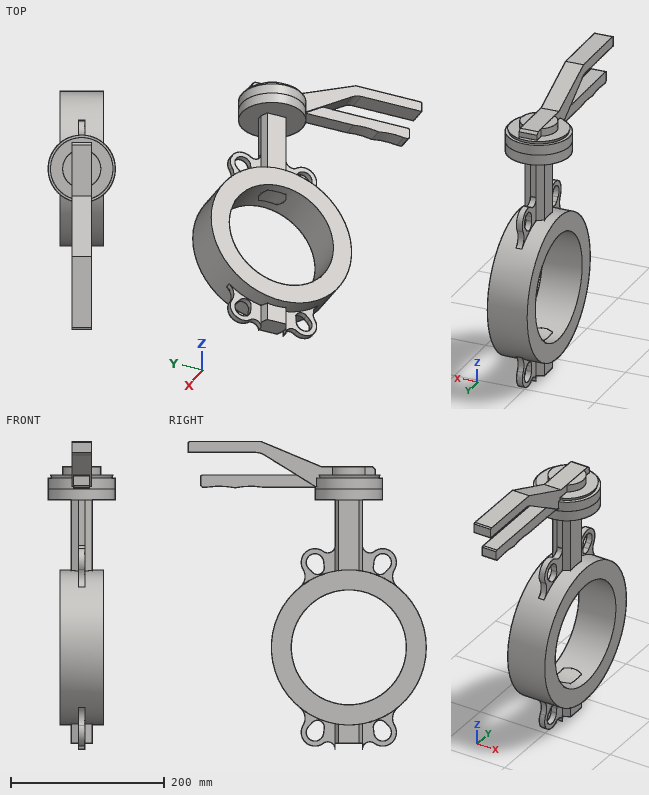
import cadquery as cq
import math

RING_CENTRE = (0, 0)
RING_DIAMETER = 202.5
BORE_DIAMETER = 150.0
RING_WIDTH = 57.0
RING_RADIUS = RING_DIAMETER / 2
BORE_RADIUS = BORE_DIAMETER / 2

POST_X = 27.7
POST_Y = 35.8
POST_FLAT_X = 8.5
POST_FLAT_Y = 27.0
FOOT_BOTTOM_Z = -125.5

FLANGE_DIAMETER = 88.0
FLANGE_BOTTOM_Z = 192.5
FLANGE_TOP_Z = 207.0
CAP_RIM_Z = 221.0
CAP_TOP_Z = 225.0
LIP_TOP_DIAMETER = 81.5
LIP_ROOT_DIAMETER = 78.8
HUB_DIAMETER = 50.0
HUB_TOP_Z = 236.0
FLANGE_RADIUS = FLANGE_DIAMETER / 2

HANDLE_WIDTH = 25.7
HANDLE_BACK_Y = 34.5
HANDLE_RISE_Y = -35.8
HANDLE_TOP_BEND_Y = -114.5
HANDLE_LOW_BEND_Y = -115.8
HANDLE_END_Y = -210.0
HANDLE_TOP_Z = 269.0
GRIP_THICKNESS = 14.5
BEND_RADIUS = 23.5
BACK_CHAMFER = 3.5
HEEL_Z = 210.2

END_CHAMFER_LENGTH = 2.5
END_CHAMFER_DROP = 1.2

LEVER_WIDTH = 21.0
LEVER_BOTTOM_Z = 209.0
LEVER_END_Y = -193.5
LEVER_TIP_CHAMFER = 2.5
GROOVE_START_Y = -112.5
GROOVE_RIDGE_Y = -148.5
GROOVE_END_Y = -185.0
GROOVE_TOP_Z = 210.2
RIDGE_BOTTOM_Z = 208.2

EAR_THICKNESS = POST_FLAT_X
EAR_RADIUS = 18.0
EAR_CENTRE = (44.2, 111.0)
POST_FILLET = 9.5
RING_FILLET = 18.0
EAR_HOLE_RADIUS = 11.3
SLOT_CENTRE = (41.0, 104.0)
SLOT_RADIUS = 9.0


def toward(start, end, distance):
    """The point at a distance from start along the line to end."""
    scale = distance / math.dist(start, end)
    return (start[0] + (end[0] - start[0]) * scale, start[1] + (end[1] - start[1]) * scale)


def short_arc_middle(centre, start, end):
    """The middle of the shorter arc from start to end about a centre."""
    chord_middle = ((start[0] + end[0]) / 2, (start[1] + end[1]) / 2)
    return toward(centre, chord_middle, math.dist(centre, start))


def make_ring_disc(radius):
    return cq.Workplane("YZ").circle(radius).extrude(RING_WIDTH / 2, both=True)


def make_post(bottom, top):
    """Vertical post whose section is a rectangle with four bevelled corners."""
    x, y = POST_X / 2, POST_Y / 2
    flat_x, flat_y = POST_FLAT_X / 2, POST_FLAT_Y / 2
    section = [
        (x, -flat_y), (x, flat_y), (flat_x, y), (-flat_x, y),
        (-x, flat_y), (-x, -flat_y), (-flat_x, -y), (flat_x, -y),
    ]
    return cq.Workplane("XY").workplane(offset=bottom).polyline(section).close().extrude(top - bottom)


def make_neck(bore):
    """Neck that passes through the ring wall, with the mounting flange at its top."""
    post = make_post(0, FLANGE_BOTTOM_Z).cut(bore)
    flange_plane = cq.Workplane("XY").workplane(offset=FLANGE_BOTTOM_Z)
    flange = flange_plane.circle(FLANGE_RADIUS).extrude(FLANGE_TOP_Z - FLANGE_BOTTOM_Z)
    return post.union(flange)


def make_foot(bore):
    return make_post(FOOT_BOTTOM_Z, 0).cut(bore)


def make_handle():
    grip_bottom = HANDLE_TOP_Z - GRIP_THICKNESS
    low_bend = (HANDLE_LOW_BEND_Y, grip_bottom)
    heel = (-FLANGE_RADIUS, HEEL_Z)
    handle = (
        cq.Workplane("YZ")
        .moveTo(HANDLE_BACK_Y, HEEL_Z)
        .lineTo(HANDLE_BACK_Y, HUB_TOP_Z - BACK_CHAMFER)
        .lineTo(HANDLE_BACK_Y - BACK_CHAMFER, HUB_TOP_Z)
        .lineTo(HANDLE_RISE_Y, HUB_TOP_Z)
        .lineTo(HANDLE_TOP_BEND_Y, HANDLE_TOP_Z)
        .lineTo(HANDLE_END_Y + END_CHAMFER_LENGTH, HANDLE_TOP_Z)
        .lineTo(HANDLE_END_Y, HANDLE_TOP_Z - END_CHAMFER_DROP)
        .lineTo(HANDLE_END_Y, grip_bottom)
        .lineTo(*low_bend)
        .lineTo(*heel)
        .close()
        .extrude(HANDLE_WIDTH / 2, both=True)
    )
    bend_edge = cq.selectors.NearestToPointSelector((0, *low_bend))
    return handle.edges(bend_edge).fillet(BEND_RADIUS)


def make_lever(handle):
    """Squeeze lever, cut off where it meets the sloping underside of the handle."""
    first_groove = ((GROOVE_START_Y + GROOVE_RIDGE_Y) / 2, GROOVE_TOP_Z)
    second_groove = ((GROOVE_RIDGE_Y + GROOVE_END_Y) / 2, GROOVE_TOP_Z)
    lever = (
        cq.Workplane("YZ")
        .moveTo(-FLANGE_RADIUS, LEVER_BOTTOM_Z)
        .lineTo(GROOVE_START_Y, LEVER_BOTTOM_Z)
        .threePointArc(first_groove, (GROOVE_RIDGE_Y, RIDGE_BOTTOM_Z))
        .threePointArc(second_groove, (GROOVE_END_Y, LEVER_BOTTOM_Z))
        .lineTo(LEVER_END_Y + LEVER_TIP_CHAMFER, LEVER_BOTTOM_Z)
        .lineTo(LEVER_END_Y, LEVER_BOTTOM_Z + LEVER_TIP_CHAMFER)
        .lineTo(LEVER_END_Y, CAP_TOP_Z - END_CHAMFER_DROP)
        .lineTo(LEVER_END_Y + END_CHAMFER_LENGTH, CAP_TOP_Z)
        .lineTo(-FLANGE_RADIUS, CAP_TOP_Z)
        .close()
        .extrude(LEVER_WIDTH / 2, both=True)
    )
    return lever.cut(handle)


def make_cap(handle):
    """Turned cap with a lip and a hub, slotted for the handle."""
    profile = [
        (0, FLANGE_TOP_Z),
        (FLANGE_RADIUS, FLANGE_TOP_Z),
        (FLANGE_RADIUS, CAP_RIM_Z),
        (LIP_ROOT_DIAMETER / 2, CAP_RIM_Z),
        (LIP_TOP_DIAMETER / 2, CAP_TOP_Z),
        (HUB_DIAMETER / 2, CAP_TOP_Z),
        (HUB_DIAMETER / 2, HUB_TOP_Z),
        (0, HUB_TOP_Z),
    ]
    turned = cq.Workplane("XZ").polyline(profile).close().revolve(360, (0, 0, 0), (0, 1, 0))
    return turned.cut(handle)


def make_ear_hole():
    """Hole with a wide and a narrow round end, joined by sides tangent to both."""
    (ear_y, ear_z), (slot_y, slot_z) = EAR_CENTRE, SLOT_CENTRE
    outward = math.atan2(ear_z - slot_z, ear_y - slot_y)
    tangent_turn = math.acos((SLOT_RADIUS - EAR_HOLE_RADIUS) / math.dist(EAR_CENTRE, SLOT_CENTRE))

    def wide_end(angle):
        return (ear_y + EAR_HOLE_RADIUS * math.cos(angle), ear_z + EAR_HOLE_RADIUS * math.sin(angle))

    def narrow_end(angle):
        return (slot_y + SLOT_RADIUS * math.cos(angle), slot_z + SLOT_RADIUS * math.sin(angle))

    return (
        cq.Workplane("YZ")
        .moveTo(*wide_end(outward - tangent_turn))
        .threePointArc(wide_end(outward), wide_end(outward + tangent_turn))
        .lineTo(*narrow_end(outward + tangent_turn))
        .threePointArc(narrow_end(outward + math.pi), narrow_end(outward - tangent_turn))
        .close()
        .extrude(EAR_THICKNESS / 2, both=True)
    )


def make_ear():
    """Bolt ear in the +Y, +Z quarter, which rests on the ring and against the post."""
    post_side = POST_Y / 2
    ear_y, ear_z = EAR_CENTRE

    post_arc_y = post_side + POST_FILLET
    post_arc_reach = EAR_RADIUS + POST_FILLET
    post_arc_z = ear_z + math.sqrt(post_arc_reach**2 - (ear_y - post_arc_y) ** 2)
    post_arc_centre = (post_arc_y, post_arc_z)
    post_tip = (post_side, post_arc_z)
    ear_start = toward(post_arc_centre, EAR_CENTRE, POST_FILLET)

    ear_distance = math.hypot(ear_y, ear_z)
    ring_arc_distance = RING_RADIUS + RING_FILLET
    ring_arc_reach = EAR_RADIUS + RING_FILLET
    corner_cosine = (ear_distance**2 + ring_arc_distance**2 - ring_arc_reach**2) / (
        2 * ear_distance * ring_arc_distance
    )
    ring_arc_angle = math.atan2(ear_z, ear_y) - math.acos(corner_cosine)
    ring_arc_centre = (
        ring_arc_distance * math.cos(ring_arc_angle),
        ring_arc_distance * math.sin(ring_arc_angle),
    )
    ear_end = toward(EAR_CENTRE, ring_arc_centre, EAR_RADIUS)
    ring_end = toward(RING_CENTRE, ring_arc_centre, RING_RADIUS)

    ear_outermost = toward(EAR_CENTRE, RING_CENTRE, -EAR_RADIUS)
    post_foot = (post_side, math.sqrt(RING_RADIUS**2 - post_side**2))
    plate = (
        cq.Workplane("YZ")
        .moveTo(*post_foot)
        .lineTo(*post_tip)
        .threePointArc(short_arc_middle(post_arc_centre, post_tip, ear_start), ear_start)
        .threePointArc(ear_outermost, ear_end)
        .threePointArc(short_arc_middle(ring_arc_centre, ear_end, ring_end), ring_end)
        .threePointArc(short_arc_middle(RING_CENTRE, ring_end, post_foot), post_foot)
        .close()
        .extrude(EAR_THICKNESS / 2, both=True)
    )
    return plate.cut(make_ear_hole())


bore = make_ring_disc(BORE_RADIUS)
neck = make_neck(bore)
foot = make_foot(bore)
ring = make_ring_disc(RING_RADIUS).cut(bore).cut(neck).cut(foot)

handle = make_handle()
lever = make_lever(handle)
cap = make_cap(handle)

ears = []
for upper_ear in (make_ear(), make_ear().mirror("XZ")):
    lower_ear = upper_ear.mirror("XY")
    ears.extend([upper_ear.val(), lower_ear.val()])

result = cq.Compound.makeCompound(
    [ring.val(), neck.val(), foot.val(), cap.val(), handle.val(), lever.val(), *ears]
)